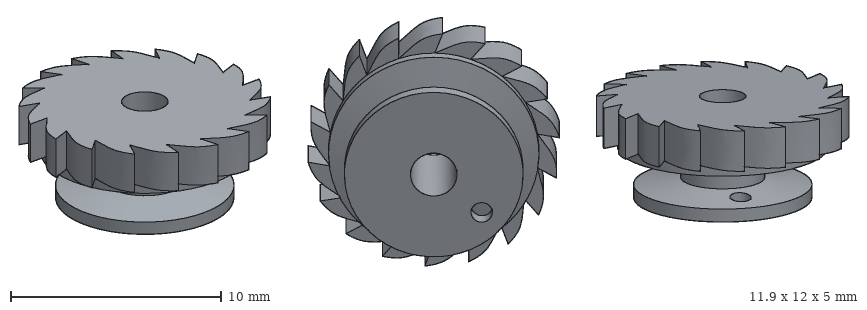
import cadquery as cq
import math

total_height = 5.0
gear_thickness = 2.0
gear_bottom = total_height - gear_thickness
collar_rim_bottom = 2.5
neck_top = 2.0
neck_bottom = 1.0
flange_rim_top = 0.65

bore_radius = 1.1
neck_radius = 2.0
collar_radius = 5.0
flange_radius = 4.25

tooth_count = 18
root_radius = 5.0
tooth_height = 1.0
undercut_angle = 20
back_point = (0.48, 5.77)
back_root_slope = 43
back_tip_slope = 7

pin_hole_radius = 0.5
pin_hole_distance = 3


def turn(point, degrees):
    """Rotate a point counterclockwise about the gear axis."""
    angle = math.radians(degrees)
    x, y = point
    return (
        x * math.cos(angle) - y * math.sin(angle),
        x * math.sin(angle) + y * math.cos(angle),
    )


def make_hub():
    """Flange, neck and collar, revolved about Z."""
    profile = [
        (0, 0),
        (flange_radius, 0),
        (flange_radius, flange_rim_top),
        (neck_radius, neck_bottom),
        (neck_radius, neck_top),
        (collar_radius, collar_rim_bottom),
        (collar_radius, gear_bottom),
        (0, gear_bottom),
    ]
    return cq.Workplane("XZ").polyline(profile).close().revolve(360, (0, 0), (0, 1))


def make_gear():
    """Ratchet wheel: each tooth has a smooth curved back and an undercut face."""
    pitch_angle = 360 / tooth_count
    root = (0, root_radius)
    tip = (
        -tooth_height * math.tan(math.radians(undercut_angle)),
        root_radius + tooth_height,
    )
    back_start = turn(root, -pitch_angle)
    root_direction = turn((-1, 0), -back_root_slope)
    tip_direction = turn((-1, 0), -back_tip_slope)

    outline = cq.Workplane("XY").workplane(offset=gear_bottom).moveTo(*back_start)
    for tooth in range(tooth_count):
        angle = tooth * pitch_angle
        back = [turn(back_point, angle), turn(tip, angle)]
        directions = [turn(root_direction, angle), turn(tip_direction, angle)]
        outline = outline.spline(back, tangents=directions, includeCurrent=True)
        if tooth < tooth_count - 1:
            outline = outline.lineTo(*turn(root, angle))
    return outline.close().extrude(gear_thickness)


bore = cq.Workplane("XY").circle(bore_radius).extrude(total_height)
pin_hole = cq.Workplane("XY").center(-pin_hole_distance, 0).circle(pin_hole_radius).extrude(neck_bottom)

result = make_hub().union(make_gear()).cut(bore).cut(pin_hole)